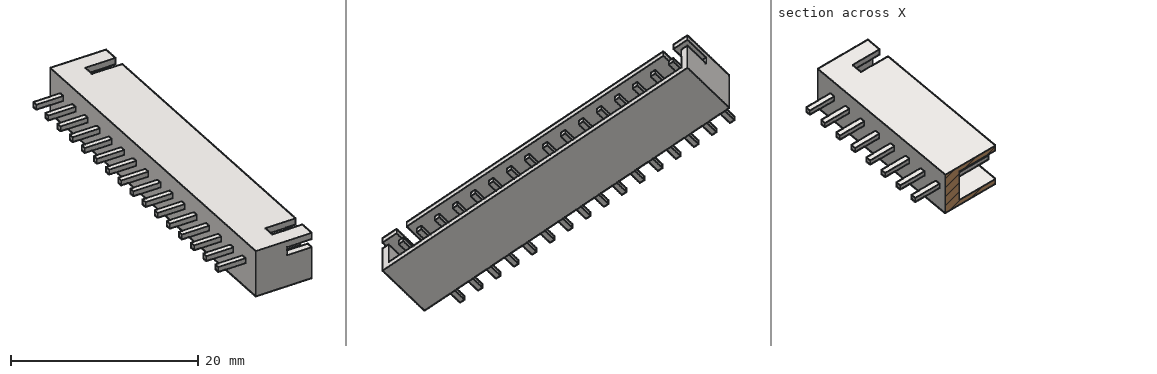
import cadquery as cq


length = 42.4
body_depth = 7.0
height = 5.75
wall = 0.8
end_wall = 0.85
floor_thickness = 2.0

pin_count = 16
pin_pitch = 2.5
pin_side = 0.65
pin_tail = 3.4
pin_tip_recess = 0.15
pin_drop = 2.37

slot_offset = 1.95
slot_width = 1.4
slot_depth = 3.77

window_height = 1.0
window_depth = 3.1

half_length = length / 2
pin_z = height - pin_drop
first_pin_x = -pin_pitch * (pin_count - 1) / 2
window_top = height - wall


def box(x_range, y_range, z_range):
    """Box spanning the given (low, high) limits on each axis."""
    size = [high - low for low, high in (x_range, y_range, z_range)]
    corner = (x_range[0], y_range[0], z_range[0])
    return cq.Workplane("XY").box(*size, centered=False).translate(corner)


def make_housing():
    """Rectangular shell, open at +Y."""
    block = box((-half_length, half_length), (0, body_depth), (0, height))
    inner_end = half_length - end_wall
    cavity = box(
        (-inner_end, inner_end),
        (floor_thickness, body_depth),
        (wall, height - wall),
    )
    return block.cut(cavity)


def make_latch_slot():
    """Notch in the top wall near the -X end, open at +Y and into the cavity."""
    left = -half_length + slot_offset
    return box(
        (left, left + slot_width),
        (body_depth - slot_depth, body_depth),
        (height - wall, height),
    )


def make_windows():
    """Cutter that opens both end walls just under the top wall."""
    return box(
        (-half_length, half_length),
        (body_depth - window_depth, body_depth),
        (window_top - window_height, window_top),
    )


def make_pin(x):
    """Square pin from its tail in front of the housing to its tip inside the cavity."""
    half_side = pin_side / 2
    return box(
        (x - half_side, x + half_side),
        (-pin_tail, body_depth - pin_tip_recess),
        (pin_z - half_side, pin_z + half_side),
    )


latch_slot = make_latch_slot()
result = make_housing().cut(latch_slot).cut(latch_slot.mirror("YZ")).cut(make_windows())
for index in range(pin_count):
    result = result.union(make_pin(first_pin_x + index * pin_pitch))